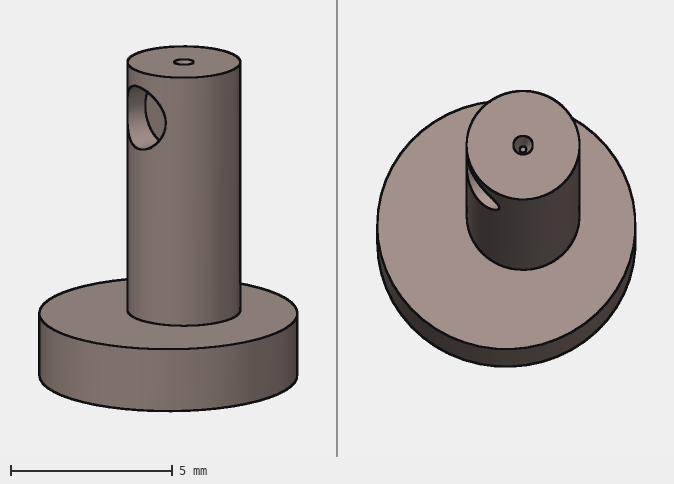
import cadquery as cq

base_diameter = 8
base_height = 2

post_diameter = 3.5
post_height = 8
post_offset_y = 0.6
post_top = base_height + post_height

cross_hole_diameter = 2
cross_hole_drop = 1.5
cross_hole_depth = 1

mouth_diameter = 0.6
floor_diameter = 0.2
taper_depth = 0.5


def vertical_cylinder(diameter, height, y, bottom):
    return cq.Workplane("XY", origin=(0, y, bottom)).circle(diameter / 2).extrude(height)


def cross_hole():
    front_y = post_offset_y - post_diameter / 2
    origin = (0, front_y, post_top - cross_hole_drop)
    return cq.Workplane("XZ", origin=origin).circle(cross_hole_diameter / 2).extrude(-cross_hole_depth)


def tapered_hole():
    mouth = cq.Workplane("XY", origin=(0, post_offset_y, post_top)).circle(mouth_diameter / 2)
    return mouth.workplane(offset=-taper_depth).circle(floor_diameter / 2).loft(ruled=True)


base = vertical_cylinder(base_diameter, base_height, 0, 0)
post = vertical_cylinder(post_diameter, post_height, post_offset_y, base_height)
result = base.union(post).cut(cross_hole()).cut(tapered_hole())